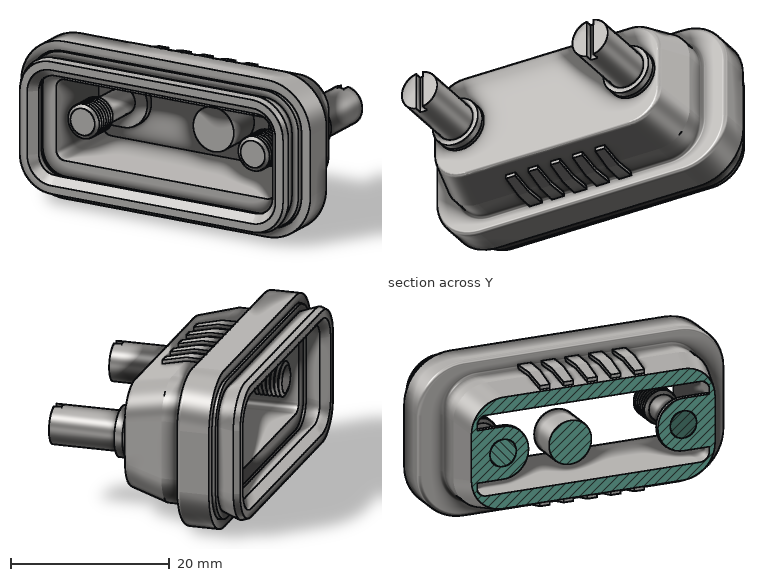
import cadquery as cq

flange_width = 42.4
flange_height = 20.85
flange_corner = 6.35
flange_depth = 4.33
flange_fillet = 0.5

hood_width = 35.45
hood_height = 16.7
hood_corner = 4.55
hood_taper_start = 7.4
hood_back = 12.73
hood_back_width = 32.9
hood_back_height = 14.15
hood_back_corner = 4.35
hood_fillet = 0.5

rib_count = 5
rib_pitch = 3.25
rib_rise = 0.5
rib_end = 10.6
rib_root_width = 1.85
rib_end_width = 1.35
rib_embed = 1.27

cavity_width = 32.05
cavity_height = 10.77
cavity_corner = 1.25
back_wall = 1.27
cavity_floor = hood_back - back_wall

pad_thickness = 1.0
pad_radius = 3.55
post_x = 3.2
post_radius = 2.95
post_front = 6.45

seat_depth = 1.0
seat_side_gap = 0.25

core_width = 29.45
core_height = 8.4
base_offset = 4.95
base_inner_offset = 3.25
base_front = -0.4
lip_tip = -3.5
lip_outer_peak = -2.7
lip_inner_peak = -2.45
neck_offset = 4.05
outer_peak_offset = 4.88
outer_tip_offset = 4.6
inner_peak_offset = 2.4
inner_tip_offset = 3.48

screw_x = 12.47
screw_tip = 0.5
screw_end = 23.1
thread_radius = 2.3
neck_radius = 1.8
thread_pitch = 0.55
thread_count = 7
head_radius = 2.6
collar_radius = 3.3
collar_length = 1.05
washer_thickness = 0.45
slot_width = 0.98
slot_depth = 1.0


def rounded_rectangle(width, height, corner):
    """Flat outline centred on the Y axis."""
    return cq.Sketch().rect(width, height).vertices().fillet(corner)


def core_outline(offset):
    """Gasket outline at a constant distance outside the core rectangle."""
    return rounded_rectangle(core_width + 2 * offset, core_height + 2 * offset, offset)


def prism(outline, start, end):
    """Straight block of the given outline from Y = start to Y = end."""
    return cq.Workplane("XZ", origin=(0, start, 0)).placeSketch(outline).extrude(start - end)


def tapered_block(first, start, last, end):
    """Block that blends from one outline at Y = start to another at Y = end."""
    last_placed = last.moved(cq.Location(cq.Vector(0, 0, start - end)))
    return cq.Workplane("XZ", origin=(0, start, 0)).placeSketch(first, last_placed).loft()


def cylinder(x, radius, start, end):
    return cq.Workplane("XZ", origin=(x, start, 0)).circle(radius).extrude(start - end)


def make_shell():
    """Flange and hood, solid, with their edges rounded."""
    flange = prism(rounded_rectangle(flange_width, flange_height, flange_corner), 0, flange_depth)
    flange = flange.faces(">Y").edges().fillet(flange_fillet)
    hood_outline = rounded_rectangle(hood_width, hood_height, hood_corner)
    back_outline = rounded_rectangle(hood_back_width, hood_back_height, hood_back_corner)
    cap = tapered_block(hood_outline, hood_taper_start, back_outline, hood_back)
    cap = cap.faces(">Y").edges().fillet(hood_fillet)
    collar = prism(hood_outline, 0, hood_taper_start)
    shell = flange.union(collar)
    root = cq.selectors.BoxSelector(
        (-hood_width / 2 - 0.05, flange_depth - 0.05, -hood_height / 2 - 0.05),
        (hood_width / 2 + 0.05, flange_depth + 0.05, hood_height / 2 + 0.05),
        boundingbox=True,
    )
    return shell.edges(root).fillet(hood_fillet).union(cap)


def make_rib(x):
    """Upper grip rib that follows the hood wall and narrows toward the back."""
    slope = (hood_height - hood_back_height) / 2 / (hood_back - hood_taper_start)
    crest = hood_height / 2 + rib_rise
    end_crest = crest - slope * (rib_end - hood_taper_start)
    foot = end_crest - rib_embed
    root = flange_depth - flange_fillet
    side = (
        cq.Workplane("YZ", origin=(x - rib_root_width, 0, 0))
        .polyline([(root, foot), (root, crest), (hood_taper_start, crest), (rib_end, end_crest), (rib_end, foot)])
        .close()
        .extrude(2 * rib_root_width)
    )
    plan = (
        cq.Workplane("XY")
        .polyline([
            (x - rib_root_width / 2, root),
            (x + rib_root_width / 2, root),
            (x + rib_end_width / 2, rib_end),
            (x - rib_end_width / 2, rib_end),
        ])
        .close()
        .extrude(flange_height)
    )
    return side.intersect(plan)


def make_pad(side):
    """Raised floor pad round a screw, running out to the cavity end wall."""
    pad_front = cavity_floor - pad_thickness
    run = cavity_width / 2 - screw_x
    block = (
        cq.Workplane("XZ", origin=(side * (screw_x + run / 2), pad_front, 0))
        .rect(run, 2 * pad_radius)
        .extrude(-pad_thickness)
    )
    return cylinder(side * screw_x, pad_radius, pad_front, cavity_floor).union(block)


def make_seat():
    """Groove for the gasket base, with clearance at the two ends."""
    base_width = core_width + 2 * base_offset
    base_height = core_height + 2 * base_offset
    outer = rounded_rectangle(base_width + 2 * seat_side_gap, base_height, base_offset)
    return prism(outer, 0, seat_depth).cut(prism(core_outline(base_inner_offset), 0, seat_depth))


def make_housing():
    housing = make_shell()
    for index in range(rib_count):
        rib = make_rib((index - (rib_count - 1) / 2) * rib_pitch)
        housing = housing.union(rib).union(rib.mirror("XY"))
    cavity = rounded_rectangle(cavity_width, cavity_height, cavity_corner)
    housing = housing.cut(prism(cavity, 0, cavity_floor))
    housing = housing.union(cylinder(post_x, post_radius, post_front, cavity_floor))
    for side in (-1, 1):
        housing = housing.union(make_pad(side))
        housing = housing.cut(cylinder(side * screw_x, neck_radius, 0, hood_back))
    return housing.cut(make_seat())


def make_gasket():
    """Base ring in the seat carrying a double-flared lip."""
    neck = core_outline(neck_offset)
    outer_peak = core_outline(outer_peak_offset)
    inner_base = core_outline(base_inner_offset)
    inner_peak = core_outline(inner_peak_offset)
    base = prism(core_outline(base_offset), base_front, seat_depth)
    outer_flare = tapered_block(outer_peak, lip_outer_peak, neck, base_front)
    outer_bevel = tapered_block(core_outline(outer_tip_offset), lip_tip, outer_peak, lip_outer_peak)
    inner_flare = tapered_block(inner_peak, lip_inner_peak, inner_base, base_front)
    inner_bevel = tapered_block(core_outline(inner_tip_offset), lip_tip, inner_peak, lip_inner_peak)
    gasket = base.union(outer_flare).union(outer_bevel)
    return gasket.cut(prism(inner_base, base_front, seat_depth)).cut(inner_flare).cut(inner_bevel)


def make_screw(x):
    """Captive screw: tip with V-shaped thread ridges, plain neck, collar and slotted head."""
    collar_front = hood_back + washer_thickness
    collar_back = collar_front + collar_length
    profile = cq.Workplane("XY").moveTo(0, screw_tip).lineTo(neck_radius, screw_tip)
    for index in range(thread_count):
        ridge_start = screw_tip + index * thread_pitch
        profile = profile.lineTo(thread_radius, ridge_start + thread_pitch / 2)
        profile = profile.lineTo(neck_radius, ridge_start + thread_pitch)
    screw = (
        profile.lineTo(neck_radius, collar_front)
        .lineTo(collar_radius, collar_front)
        .lineTo(collar_radius, collar_back)
        .lineTo(head_radius, collar_back)
        .lineTo(head_radius, screw_end)
        .lineTo(0, screw_end)
        .close()
        .revolve(360, (0, 0, 0), (0, 1, 0))
    )
    slot = cq.Workplane("XY").box(slot_width, 2 * slot_depth, 3 * head_radius).translate((0, screw_end, 0))
    return screw.cut(slot).translate((x, 0, 0))


def make_washer(x):
    washer_back = hood_back + washer_thickness
    disc = cylinder(x, collar_radius, hood_back, washer_back)
    return disc.cut(cylinder(x, neck_radius, hood_back, washer_back))


housing = make_housing()
gasket = make_gasket()
screws = [make_screw(side * screw_x) for side in (-1, 1)]
washers = [make_washer(side * screw_x) for side in (-1, 1)]

result = cq.Compound.makeCompound(
    [housing.val(), gasket.val()] + [body.val() for body in screws + washers]
)